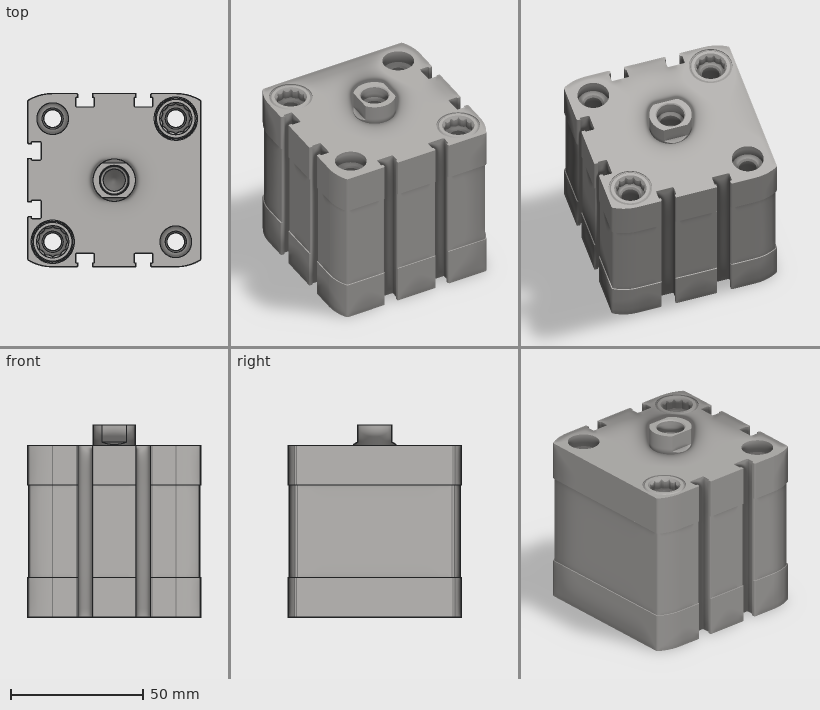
import cadquery as cq
import math

width = 65.5
body_height = 65.0
cap_height = 15.0
barrel_inset = 0.4

flat_half_width = 23.4
corner_arc_radius = 17.5
corner_edge_radius = 1.0

slot_pocket_offset = 11.05
slot_mouth_offset = 10.95
slot_mouth_width = 5.5
slot_mouth_depth = 1.45
slot_pocket_width = 6.9
slot_depth = 5.1
slot_outer_round = 0.6
slot_inner_round = 0.25
slot_pocket_round = 0.4

hole_spacing = 46.5
hole_diameter = 6.65
hole_mouth_diameter = 8.0
counterbore_diameter = 12.0
counterbore_depth = 5.0

groove_outer_diameter = 16.4
groove_middle_diameter = 15.5
groove_depth = 0.45
socket_mouth_diameter = 12.2
socket_tip_diameter = 11.5
socket_root_diameter = 10.5
socket_root_flat = 1.0
socket_depth = 4.4
socket_points = 12
socket_cone_slope = math.radians(60)

rod_diameter = 16.0
rod_protrusion = 7.7
rod_insertion = cap_height
rod_flat_width = 13.0
rod_flat_height = 6.5
rod_flat_slope = math.radians(30)
rod_bore_diameter = 10.5
rod_bore_mouth_diameter = 11.3
rod_bore_depth = 5.0
rod_thread_diameter = 8.38
rod_thread_depth = 12.0
drill_slope = math.radians(30)

half_width = width / 2
rod_top = body_height + rod_protrusion
rod_bottom = body_height - rod_insertion
hole_offset = hole_spacing / 2


def turned(profile):
    """Solid of revolution about Z from (radius, z) points."""
    return cq.Workplane("XZ").polyline(profile).close().revolve(360, (0, 0, 0), (0, 1, 0))


def corner_blank(inset, height):
    """Block whose four corners bulge from the +Y and -Y faces in a wide arc to the sides."""
    side = half_width - inset
    radius = corner_arc_radius - inset
    arc_center_y = half_width - corner_arc_radius

    def arc_y(x):
        return arc_center_y + math.sqrt(radius**2 - (x - flat_half_width) ** 2)

    end_y = arc_y(side)
    middle_x = (side + flat_half_width) / 2
    middle_y = arc_y(middle_x)
    return (
        cq.Workplane("XY")
        .moveTo(-flat_half_width, side)
        .lineTo(flat_half_width, side)
        .threePointArc((middle_x, middle_y), (side, end_y))
        .lineTo(side, -end_y)
        .threePointArc((middle_x, -middle_y), (flat_half_width, -side))
        .lineTo(-flat_half_width, -side)
        .threePointArc((-middle_x, -middle_y), (-side, -end_y))
        .lineTo(-side, end_y)
        .threePointArc((-middle_x, middle_y), (-flat_half_width, side))
        .close()
        .extrude(height)
        .edges("|Z and (<X or >X)")
        .fillet(corner_edge_radius)
    )


def slotted_section(inset, height):
    """Length of housing, its sides moved in by the inset, with a slot pair in the +Y, -X and -Y faces."""
    section = corner_blank(inset, height)
    slot = sensor_slot(half_width - inset, height)
    slot_pair = slot.union(slot.mirror("YZ"))
    for turn in (0, 90, 180):
        section = section.cut(slot_pair.rotate((0, 0, 0), (0, 0, 1), turn))
    return section


def slotted_housing():
    """Two end caps with the slightly smaller barrel between them."""
    barrel_height = body_height - 2 * cap_height
    cap = slotted_section(0, cap_height)
    barrel = slotted_section(barrel_inset, barrel_height).translate((0, 0, cap_height))
    return cap.union(barrel).union(cap.translate((0, 0, body_height - cap_height)))


def sensor_slot(face, height):
    """Cutter for one slot in a +Y face, to the right of the middle, with rounded lips."""
    floor = half_width - slot_depth
    shoulder = half_width - slot_mouth_depth
    middle = (floor + shoulder) / 2
    pocket = (
        cq.Workplane("XY")
        .center(slot_pocket_offset, middle)
        .rect(slot_pocket_width, shoulder - floor)
        .extrude(height)
        .edges("|Z")
        .fillet(slot_pocket_round)
    )
    left = slot_mouth_offset - slot_mouth_width / 2
    right = slot_mouth_offset + slot_mouth_width / 2
    arc_share = 1 - math.sqrt(0.5)
    mouth = (
        cq.Workplane("XY")
        .moveTo(left, middle)
        .lineTo(right, middle)
        .lineTo(right, face - slot_outer_round)
        .threePointArc(
            (right + slot_outer_round * arc_share, face - slot_outer_round * arc_share),
            (right + slot_outer_round, face),
        )
        .lineTo(left - slot_inner_round, face)
        .threePointArc(
            (left - slot_inner_round * arc_share, face - slot_inner_round * arc_share),
            (left, face - slot_inner_round),
        )
        .close()
        .extrude(height)
    )
    return pocket.union(mouth)


def mounting_hole():
    """Through hole with a countersunk mouth below a plain counterbore."""
    floor = body_height - counterbore_depth
    counterbore = cq.Workplane("XY", origin=(0, 0, floor)).circle(counterbore_diameter / 2)
    return hole_below(floor).union(counterbore.extrude(counterbore_depth))


def hole_below(floor):
    """Through hole up to the given floor, with a 45 degree countersink at its mouth."""
    radius = hole_diameter / 2
    mouth = hole_mouth_diameter / 2
    return turned([(0, 0), (radius, 0), (radius, floor - (mouth - radius)), (mouth, floor), (0, floor)])


def screw_socket():
    """Twelve-point socket with a conical mouth and the hole below it."""
    floor = body_height - socket_depth
    tip = socket_tip_diameter / 2
    root = socket_root_diameter / 2
    pitch = 2 * math.pi / socket_points
    root_angle = pitch / 2 - math.asin(socket_root_flat / 2 / root)

    def polar(radius, angle):
        return (radius * math.cos(angle), radius * math.sin(angle))

    star = cq.Workplane("XY", origin=(0, 0, floor)).moveTo(*polar(tip, 0))
    for index in range(socket_points):
        angle = index * pitch
        star = (
            star.lineTo(*polar(root, angle + root_angle))
            .threePointArc(polar(root, angle + pitch / 2), polar(root, angle + pitch - root_angle))
            .lineTo(*polar(tip, angle + pitch))
        )
    star = star.close().extrude(socket_depth)
    mouth = socket_mouth_diameter / 2
    cone_radius = mouth - socket_depth / math.tan(socket_cone_slope)
    cone = turned([(0, floor), (cone_radius, floor), (mouth, body_height), (0, body_height)])
    return hole_below(floor).union(star).union(cone)


def head_groove():
    """Ring around a screw head: upright outer wall, narrow floor and the head's 45 degree chamfer."""
    outer = groove_outer_diameter / 2
    inner = groove_middle_diameter / 2
    floor = body_height - groove_depth
    return turned([(outer, body_height), (outer, floor), (inner, floor), (inner - groove_depth, body_height)])


housing = slotted_housing()
for side in (-1, 1):
    housing = housing.cut(mounting_hole().translate((side * hole_offset, -side * hole_offset, 0)))
    screw_place = (side * hole_offset, side * hole_offset, 0)
    housing = housing.cut(screw_socket().translate(screw_place))
    housing = housing.cut(head_groove().translate(screw_place))
rod_seat = cq.Workplane("XY", origin=(0, 0, rod_bottom)).circle(rod_diameter / 2).extrude(rod_insertion)
housing = housing.cut(rod_seat)


def wrench_flat():
    """Cutter for the flat on the +Y side, with a sloping run-out at its foot."""
    inner = rod_flat_width / 2
    outer = rod_diameter / 2
    foot = rod_top - rod_flat_height
    return (
        cq.Workplane("YZ")
        .polyline([
            (inner, rod_top),
            (inner, foot),
            (outer, foot - (outer - inner) * math.tan(rod_flat_slope)),
            (outer, rod_top),
        ])
        .close()
        .extrude(rod_diameter / 2, both=True)
    )


def rod_bore():
    """Chamfered bore stepping by a 45 degree cone to the thread hole, which ends in a drill point."""
    mouth = rod_bore_mouth_diameter / 2
    bore = rod_bore_diameter / 2
    thread = rod_thread_diameter / 2
    bore_floor = rod_top - rod_bore_depth
    thread_floor = rod_top - rod_thread_depth
    return turned([
        (0, rod_top),
        (mouth, rod_top),
        (bore, rod_top - (mouth - bore)),
        (bore, bore_floor),
        (thread, bore_floor - (bore - thread)),
        (thread, thread_floor),
        (0, thread_floor - thread * math.tan(drill_slope)),
    ])


rod = (
    cq.Workplane("XY", origin=(0, 0, rod_bottom))
    .circle(rod_diameter / 2)
    .extrude(rod_top - rod_bottom)
    .cut(wrench_flat())
    .cut(wrench_flat().mirror("XZ"))
    .cut(rod_bore())
)

result = cq.Compound.makeCompound([housing.val(), rod.val()])